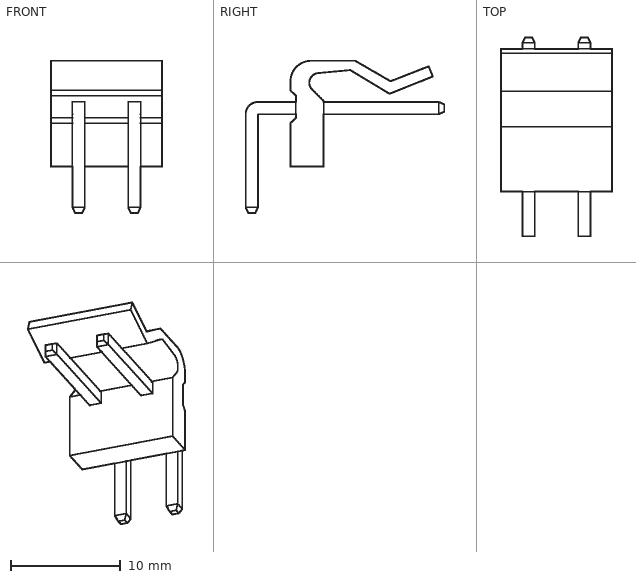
import cadquery as cq
import math


WIDTH = 10.15
BLOCK_DEPTH = 3.03
HOUSING_HEIGHT = 9.67
HOOK_OUTER_RADIUS = 1.9
HOOK_INNER_RADIUS = 0.87
HOOK_INNER_CENTER = (2.61, 7.65)

GROOVE_DEPTH = 0.5
GROOVE_MOUTH_BOTTOM = 3.97
GROOVE_FLOOR_BOTTOM = 4.45
GROOVE_FLOOR_TOP = 6.48
GROOVE_MOUTH_TOP = 6.95

ARM_CREST_Y = 5.91
ARM_VALLEY_TOP = (9.15, 7.8)
ARM_TIP_TOP = (12.63, 9.16)
ARM_TIP_BOTTOM = (13.0, 8.22)
ARM_VALLEY_BOTTOM = (9.05, 6.64)
ARM_CREST_BOTTOM = (5.46, 8.8)

PIN_COUNT = 2
PIN_PITCH = WIDTH / PIN_COUNT
PIN_SIZE = 1.15
PIN_TIP_SIZE = 0.65
PIN_TIP_LENGTH = 0.5
PIN_TOP = 5.91
PIN_SPAN = 18.14
PIN_FRONT = -4.08
OVERALL_HEIGHT = 13.9

PIN_REAR = PIN_FRONT + PIN_SPAN
PIN_FOOT = HOUSING_HEIGHT - OVERALL_HEIGHT
PIN_AXIS_Z = PIN_TOP - PIN_SIZE / 2
LEG_AXIS_Y = PIN_FRONT + PIN_SIZE / 2
BEND_Y = PIN_FRONT + PIN_SIZE
BEND_Z = PIN_TOP - PIN_SIZE

pin_positions = [(i - (PIN_COUNT - 1) / 2) * PIN_PITCH for i in range(PIN_COUNT)]


def arc_point(center, radius, degrees):
    """Point on a circle in the YZ plane, with the angle measured from +Y toward +Z."""
    angle = math.radians(degrees)
    return (center[0] + radius * math.cos(angle), center[1] + radius * math.sin(angle))


def hook_underside_start_angle():
    """Angle at which the line from the arm crest touches the inner hook arc."""
    dy = ARM_CREST_BOTTOM[0] - HOOK_INNER_CENTER[0]
    dz = ARM_CREST_BOTTOM[1] - HOOK_INNER_CENTER[1]
    half_angle = math.acos(HOOK_INNER_RADIUS / math.hypot(dy, dz))
    return math.degrees(math.atan2(dz, dy) + half_angle)


def make_housing():
    """Extruded block, hook and arm, with a square hole for each pin."""
    outer_center = (HOOK_OUTER_RADIUS, HOUSING_HEIGHT - HOOK_OUTER_RADIUS)
    inner_end = arc_point(HOOK_INNER_CENTER, HOOK_INNER_RADIUS, 225)
    shoulder_z = inner_end[1] - (BLOCK_DEPTH - inner_end[0])
    inner_start = arc_point(HOOK_INNER_CENTER, HOOK_INNER_RADIUS, hook_underside_start_angle())

    housing = (
        cq.Workplane("YZ")
        .moveTo(0, 0)
        .lineTo(0, GROOVE_MOUTH_BOTTOM)
        .lineTo(GROOVE_DEPTH, GROOVE_FLOOR_BOTTOM)
        .lineTo(GROOVE_DEPTH, GROOVE_FLOOR_TOP)
        .lineTo(0, GROOVE_MOUTH_TOP)
        .lineTo(0, outer_center[1])
        .threePointArc(
            arc_point(outer_center, HOOK_OUTER_RADIUS, 135),
            (outer_center[0], HOUSING_HEIGHT),
        )
        .lineTo(ARM_CREST_Y, HOUSING_HEIGHT)
        .lineTo(*ARM_VALLEY_TOP)
        .lineTo(*ARM_TIP_TOP)
        .lineTo(*ARM_TIP_BOTTOM)
        .lineTo(*ARM_VALLEY_BOTTOM)
        .lineTo(*ARM_CREST_BOTTOM)
        .lineTo(*inner_start)
        .threePointArc(arc_point(HOOK_INNER_CENTER, HOOK_INNER_RADIUS, 180), inner_end)
        .lineTo(BLOCK_DEPTH, shoulder_z)
        .lineTo(BLOCK_DEPTH, 0)
        .close()
        .extrude(WIDTH / 2, both=True)
    )
    for x in pin_positions:
        hole = cq.Workplane("XY").box(PIN_SIZE, BLOCK_DEPTH, PIN_SIZE)
        housing = housing.cut(hole.translate((x, BLOCK_DEPTH / 2, PIN_AXIS_Z)))
    return housing


def make_tip(center, direction):
    """Tapered pin end that starts at center and narrows along direction."""
    plane = cq.Plane(origin=center, xDir=(1, 0, 0), normal=direction)
    return (
        cq.Workplane(plane)
        .rect(PIN_SIZE, PIN_SIZE)
        .workplane(offset=PIN_TIP_LENGTH)
        .rect(PIN_TIP_SIZE, PIN_TIP_SIZE)
        .loft(ruled=True)
    )


def make_pin(x):
    """Right-angle pin centered at x: outside corner rounded, inside corner sharp."""
    rear_y = PIN_REAR - PIN_TIP_LENGTH
    foot_z = PIN_FOOT + PIN_TIP_LENGTH
    shank = (
        cq.Workplane("YZ")
        .moveTo(rear_y, PIN_TOP)
        .lineTo(BEND_Y, PIN_TOP)
        .threePointArc(arc_point((BEND_Y, BEND_Z), PIN_SIZE, 135), (PIN_FRONT, BEND_Z))
        .lineTo(PIN_FRONT, foot_z)
        .lineTo(BEND_Y, foot_z)
        .lineTo(BEND_Y, BEND_Z)
        .lineTo(rear_y, BEND_Z)
        .close()
        .extrude(PIN_SIZE / 2, both=True)
    )
    rear_tip = make_tip((0, rear_y, PIN_AXIS_Z), (0, 1, 0))
    foot_tip = make_tip((0, LEG_AXIS_Y, foot_z), (0, 0, -1))
    return shank.union(rear_tip).union(foot_tip).translate((x, 0, 0))


housing = make_housing()
pins = [make_pin(x) for x in pin_positions]

result = cq.Compound.makeCompound([housing.solids().val(), *[pin.solids().val() for pin in pins]])